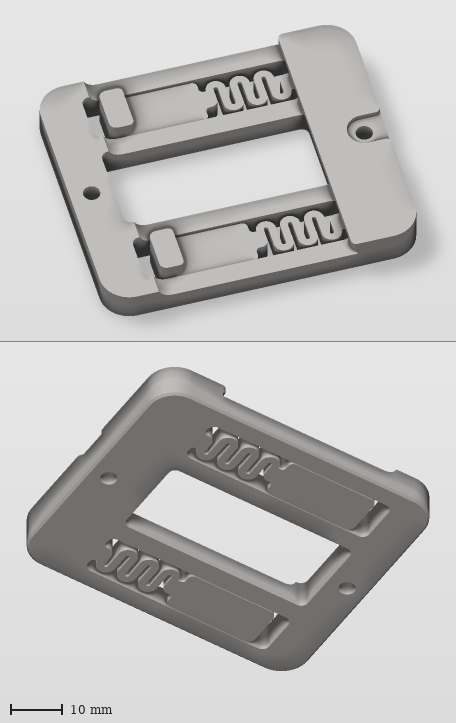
import cadquery as cq
import math

WIDTH = 54.0
LENGTH = 63.6
HEIGHT = 7.6
CORNER_RADIUS = 6.0
BOTTOM_CHAMFER = 0.45

FRONT_BAR_TOP = 6.35
RAIL_TOP = 4.5
LATCH_DROP = 0.5
LATCH_TOP = RAIL_TOP - LATCH_DROP

BACK_FACE_Y = 18.5
LIP_REACH = 1.0
LIP_CORNER_RADIUS = 1.0
LIP_TIP_BOTTOM = FRONT_BAR_TOP
LIP_FRONT_Y = BACK_FACE_Y - LIP_REACH

RAMP_START_Y = -18.7
RAMP_RADIUS = HEIGHT - RAIL_TOP

OPENING_FRONT_Y = -23.2
OPENING_CORNER_RADIUS = 1.5
WINDOW_WIDTH = 18.05
SLOT_WIDTH = 9.9
LATCH_X = 18.0

HOLE_DIAMETER = 3.4
HOLE_Y = 27.5
RECESS_WIDTH = 6.8
RECESS_MOUTH_RADIUS = 1.0

TAB_WIDTH = 9.4
TAB_BACK_Y = -0.05
TAB_FRONT_Y = -19.85
TAB_BACK_RADIUS = 1.0
TAB_FRONT_RADIUS = 1.45
HOOK_BACK_Y = -15.1
HOOK_BACK_RADIUS = 1.0
HOOK_UNDERCUT = 2.0

STRAND_WIDTH = 1.5
STRAND_PITCH = 2.4
BEND_X = 2.05
BEND_COUNT = 6
NECK_WIDTH = 4.0
NECK_FILLET = 0.9
SPRING_CENTER_Y = (BACK_FACE_Y + TAB_BACK_Y) / 2


def block(x_min, x_max, y_min, y_max, z_min, z_max):
    """Axis-aligned box given by its limits."""
    size = (x_max - x_min, y_max - y_min, z_max - z_min)
    return cq.Workplane("XY").box(*size, centered=False).translate((x_min, y_min, z_min))


def make_frame_blank():
    """Rounded plate cut to the stepped side profile, with a chamfered bottom edge."""
    plate = (
        cq.Workplane("XY")
        .rect(WIDTH, LENGTH)
        .extrude(HEIGHT)
        .edges("|Z")
        .fillet(CORNER_RADIUS)
        .faces("<Z")
        .chamfer(BOTTOM_CHAMFER)
    )

    ramp_end_angle = math.acos((HEIGHT - FRONT_BAR_TOP) / RAMP_RADIUS)

    def ramp_point(angle):
        return (RAMP_START_Y - RAMP_RADIUS * math.sin(angle), HEIGHT - RAMP_RADIUS * math.cos(angle))

    removed_profile = (
        cq.Workplane("YZ")
        .moveTo(BACK_FACE_Y, HEIGHT)
        .lineTo(BACK_FACE_Y, RAIL_TOP)
        .lineTo(RAMP_START_Y, RAIL_TOP)
        .threePointArc(ramp_point(ramp_end_angle / 2), ramp_point(ramp_end_angle))
        .lineTo(-LENGTH / 2, FRONT_BAR_TOP)
        .lineTo(-LENGTH / 2, HEIGHT)
        .close()
        .extrude(WIDTH / 2, both=True)
    )
    return plate.cut(removed_profile)


def make_lip():
    """Lip along the front of the back block, sloped underneath and rounded at both ends."""
    profile = (
        cq.Workplane("YZ")
        .moveTo(BACK_FACE_Y, HEIGHT)
        .lineTo(LIP_FRONT_Y, HEIGHT)
        .lineTo(LIP_FRONT_Y, LIP_TIP_BOTTOM)
        .lineTo(BACK_FACE_Y, LIP_TIP_BOTTOM - LIP_REACH)
        .close()
        .extrude(WIDTH / 2, both=True)
    )
    plan_outline = (
        block(-WIDTH / 2, WIDTH / 2, LIP_FRONT_Y, LENGTH / 2, 0, HEIGHT)
        .edges("|Z and <Y")
        .fillet(LIP_CORNER_RADIUS)
    )
    return profile.intersect(plan_outline)


def make_opening(center_x, width):
    """Through opening with rounded corners, running from the front bar to the back block."""
    half_width = width / 2
    return (
        block(center_x - half_width, center_x + half_width, OPENING_FRONT_Y, BACK_FACE_Y, 0, HEIGHT)
        .edges("|Z")
        .fillet(OPENING_CORNER_RADIUS)
    )


def make_recess():
    """Round-ended recess around the back screw hole, flared where it meets the back edge."""
    half_width = RECESS_WIDTH / 2
    back_y = LENGTH / 2
    flare_y = back_y - RECESS_MOUTH_RADIUS
    flare_x = half_width + RECESS_MOUTH_RADIUS
    flare_sag = RECESS_MOUTH_RADIUS * (1 - math.sqrt(0.5))
    return (
        cq.Workplane("XY", origin=(0, 0, FRONT_BAR_TOP))
        .moveTo(-flare_x, back_y)
        .threePointArc((-half_width - flare_sag, back_y - flare_sag), (-half_width, flare_y))
        .lineTo(-half_width, HOLE_Y)
        .threePointArc((0, HOLE_Y - half_width), (half_width, HOLE_Y))
        .lineTo(half_width, flare_y)
        .threePointArc((half_width + flare_sag, back_y - flare_sag), (flare_x, back_y))
        .close()
        .extrude(HEIGHT - FRONT_BAR_TOP)
    )


def make_bend(side, y):
    """Half-ring joining two neighbouring strands, bulging to the given side."""
    inner_radius = (STRAND_PITCH - STRAND_WIDTH) / 2
    outer_radius = inner_radius + STRAND_WIDTH
    ring = cq.Workplane("XY").circle(outer_radius).circle(inner_radius).extrude(LATCH_TOP)
    half_x = sorted((0, side * outer_radius))
    half = ring.intersect(block(*half_x, -outer_radius, outer_radius, 0, LATCH_TOP))
    return half.translate((side * BEND_X, y, 0))


def make_neck():
    """Root of the spring on the tab: the last strand turns down into the tab's back edge."""
    half_width = NECK_WIDTH / 2
    last_strand_y = SPRING_CENTER_Y - BEND_COUNT / 2 * STRAND_PITCH
    neck_top = last_strand_y + STRAND_WIDTH / 2
    stem = (
        block(-BEND_X, half_width, TAB_BACK_Y, neck_top, 0, LATCH_TOP)
        .edges("|Z and >X and >Y")
        .fillet(STRAND_WIDTH)
    )
    foot_half_width = half_width + NECK_FILLET
    foot = block(-foot_half_width, foot_half_width, TAB_BACK_Y, TAB_BACK_Y + NECK_FILLET, 0, LATCH_TOP)
    scoops = (
        cq.Workplane("XY")
        .pushPoints([(side * foot_half_width, TAB_BACK_Y + NECK_FILLET) for side in (-1, 1)])
        .circle(NECK_FILLET)
        .extrude(LATCH_TOP)
    )
    return stem.union(foot.cut(scoops))


def make_spring():
    """Serpentine spring; its two ends are alike under a half turn about its centre."""
    neck = make_neck()
    spring_center = (0, SPRING_CENTER_Y, 0)
    spring_axis_end = (0, SPRING_CENTER_Y, 1)
    spring = neck.union(neck.rotate(spring_center, spring_axis_end, 180))

    first_bend_y = SPRING_CENTER_Y - (BEND_COUNT - 1) / 2 * STRAND_PITCH
    for index in range(BEND_COUNT):
        side = -1 if index % 2 == 0 else 1
        bend_y = first_bend_y + index * STRAND_PITCH
        spring = spring.union(make_bend(side, bend_y))
        if index < BEND_COUNT - 1:
            strand_y = bend_y + STRAND_PITCH / 2
            strand = block(
                -BEND_X, BEND_X, strand_y - STRAND_WIDTH / 2, strand_y + STRAND_WIDTH / 2, 0, LATCH_TOP
            )
            spring = spring.union(strand)
    return spring


def make_tab():
    """Sliding tab with a raised hook at its free end, undercut on the hook's back side."""
    half_width = TAB_WIDTH / 2
    plate = (
        block(-half_width, half_width, TAB_FRONT_Y, TAB_BACK_Y, 0, LATCH_TOP)
        .edges("|Z and >Y")
        .fillet(TAB_BACK_RADIUS)
        .edges("|Z and <Y")
        .fillet(TAB_FRONT_RADIUS)
    )
    hook = (
        block(-half_width, half_width, TAB_FRONT_Y, HOOK_BACK_Y, LATCH_TOP, HEIGHT)
        .edges("|Z and >Y")
        .fillet(HOOK_BACK_RADIUS)
        .edges("|Z and <Y")
        .fillet(TAB_FRONT_RADIUS)
    )
    undercut = (
        cq.Workplane("YZ")
        .moveTo(HOOK_BACK_Y, LATCH_TOP)
        .lineTo(HOOK_BACK_Y - HOOK_UNDERCUT, LATCH_TOP)
        .lineTo(HOOK_BACK_Y, LATCH_TOP + HOOK_UNDERCUT)
        .close()
        .extrude(half_width, both=True)
    )
    return plate.union(hook.cut(undercut))


def make_screw_holes():
    """Through holes at the middle of the front bar and of the back block."""
    return (
        cq.Workplane("XY")
        .pushPoints([(0, -HOLE_Y), (0, HOLE_Y)])
        .circle(HOLE_DIAMETER / 2)
        .extrude(HEIGHT)
    )


frame = make_frame_blank().cut(make_opening(0, WINDOW_WIDTH))
for latch_x in (-LATCH_X, LATCH_X):
    frame = frame.cut(make_opening(latch_x, SLOT_WIDTH))
frame = frame.union(make_lip()).cut(make_recess()).cut(make_screw_holes())

latch = make_spring().union(make_tab())
result = frame
for latch_x in (-LATCH_X, LATCH_X):
    result = result.union(latch.translate((latch_x, 0, 0)))